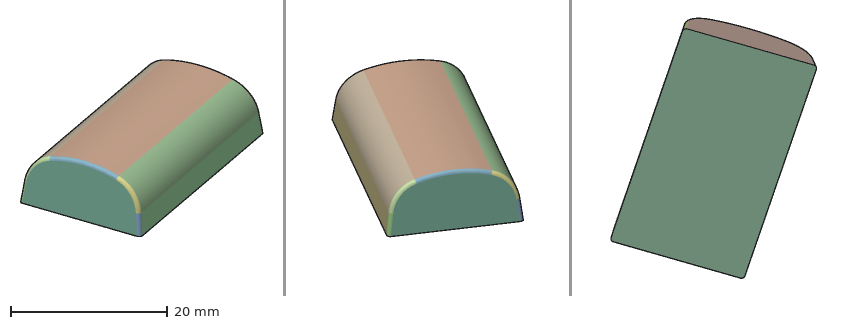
import cadquery as cq
import math

BASE_WIDTH = 18.0
BASE_LENGTH = 31.5
HEIGHT = 8.0
DRAFT_ANGLE = 7.0
CROWN_RADIUS = 18.0
SHOULDER_RADIUS = 5.0
END_FILLET_RADIUS = 0.5

HALF_WIDTH = BASE_WIDTH / 2
HALF_LENGTH = BASE_LENGTH / 2
DRAFT = math.radians(DRAFT_ANGLE)
CROWN_CENTER_Z = HEIGHT - CROWN_RADIUS


def shoulder_center():
    """Return (x, z) of the arc center tangent to the +X wall and the dome."""
    wall_offset = HALF_WIDTH - SHOULDER_RADIUS / math.cos(DRAFT)
    offset_at_crown_center = wall_offset - CROWN_CENTER_Z * math.tan(DRAFT)
    distance_to_line = offset_at_crown_center * math.cos(DRAFT)
    inner_radius = CROWN_RADIUS - SHOULDER_RADIUS
    angle = DRAFT + math.acos(distance_to_line / inner_radius)
    return (
        inner_radius * math.cos(angle),
        CROWN_CENTER_Z + inner_radius * math.sin(angle),
    )


def domed_bar():
    """Extrude the domed cross-section, square-ended, along the full length."""
    center_x, center_z = shoulder_center()
    dome_angle = math.atan2(center_z - CROWN_CENTER_Z, center_x)
    middle_angle = (DRAFT + dome_angle) / 2

    def on_shoulder(angle, side):
        x = center_x + SHOULDER_RADIUS * math.cos(angle)
        z = center_z + SHOULDER_RADIUS * math.sin(angle)
        return (side * x, z)

    return (
        cq.Workplane("XZ", origin=(0, HALF_LENGTH, 0))
        .moveTo(-HALF_WIDTH, 0)
        .lineTo(HALF_WIDTH, 0)
        .lineTo(*on_shoulder(DRAFT, 1))
        .threePointArc(on_shoulder(middle_angle, 1), on_shoulder(dome_angle, 1))
        .threePointArc((0, HEIGHT), on_shoulder(dome_angle, -1))
        .threePointArc(on_shoulder(middle_angle, -1), on_shoulder(DRAFT, -1))
        .close()
        .extrude(BASE_LENGTH)
    )


def end_draft_envelope():
    """Build the trapezoidal prism whose sloping faces form the two end walls."""
    half_length_at_top = HALF_LENGTH - HEIGHT * math.tan(DRAFT)
    return (
        cq.Workplane("YZ", origin=(-HALF_WIDTH, 0, 0))
        .moveTo(-HALF_LENGTH, 0)
        .lineTo(HALF_LENGTH, 0)
        .lineTo(half_length_at_top, HEIGHT)
        .lineTo(-half_length_at_top, HEIGHT)
        .close()
        .extrude(BASE_WIDTH)
    )


def round_ends(body):
    """Fillet every edge of the two end faces except those on the flat bottom."""
    return body.faces("<Y or >Y").edges("not <Z").fillet(END_FILLET_RADIUS)


result = round_ends(domed_bar().intersect(end_draft_envelope()))